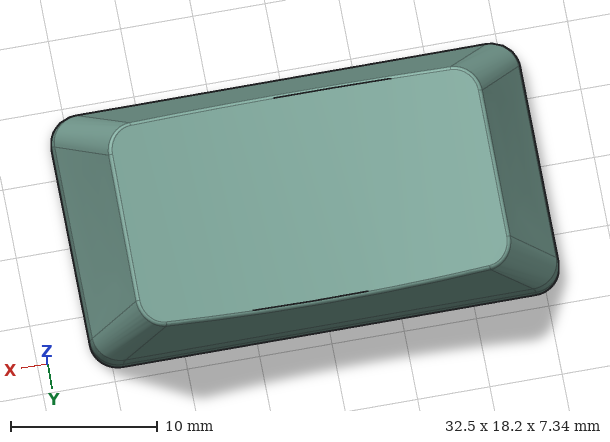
import cadquery as cq
import math

length = 32.45
width = 18.17
skirt_height = 0.62

side_slope = 0.52
front_slope = 0.55
back_slope = 0.09

shoulder_height = 0.7
shoulder_steps = 4
corner_radius = 1.95
top_edge_radius = 0.25

blank_front_height = 7.63
blank_back_height = 6.23

dish_radius = 77.88
dish_depth_below_blank = 1.2


def wall_inset(slope, height):
    """Inset of a wall that is upright, bends over an arc, then slopes straight inward."""
    lean = math.atan(slope)
    radius = shoulder_height / math.sin(lean)
    arc_rise = min(max(height - skirt_height, 0), shoulder_height)
    straight_rise = max(height - skirt_height - shoulder_height, 0)
    return radius - math.sqrt(radius**2 - arc_rise**2) + slope * straight_rise


def rounded_outline(outline_length, outline_width):
    """Rectangle with the rounded corners shared by the whole body."""
    return cq.Sketch().rect(outline_length, outline_width).vertices().fillet(corner_radius)


def outline_at(height):
    """Level outline of the skirt or shoulder at the given height."""
    front_inset = wall_inset(front_slope, height)
    back_inset = wall_inset(back_slope, height)
    outline_length = length - 2 * wall_inset(side_slope, height)
    outline_width = width - front_inset - back_inset
    center = cq.Vector(0, (front_inset - back_inset) / 2, height)
    return rounded_outline(outline_length, outline_width).moved(cq.Location(center))


top_front = cq.Vector(0, -width / 2 + wall_inset(front_slope, blank_front_height), blank_front_height)
top_back = cq.Vector(0, width / 2 - wall_inset(back_slope, blank_back_height), blank_back_height)
top_axis = (top_back - top_front).normalized()
top_plane = cq.Plane(
    origin=(top_front + top_back) * 0.5,
    xDir=(1, 0, 0),
    normal=cq.Vector(1, 0, 0).cross(top_axis),
)


def tilted_top_outline():
    """Outline of the blank's top, with side edges parallel to the part's centre line."""
    top_length = length - 2 * wall_inset(side_slope, blank_front_height)
    top_width = (top_back - top_front).Length
    return rounded_outline(top_length, top_width).moved(cq.Location(top_plane))


def keycap_blank():
    """Upright skirt, rounded shoulder and ruled tapered walls, stacked into one body."""
    shoulder_top = skirt_height + shoulder_height
    shoulder_outlines = [
        outline_at(skirt_height + shoulder_height * step / shoulder_steps)
        for step in range(shoulder_steps + 1)
    ]
    skirt = cq.Workplane().placeSketch(outline_at(0)).extrude(skirt_height)
    shoulder = cq.Workplane().placeSketch(*shoulder_outlines).loft()
    walls = cq.Workplane().placeSketch(outline_at(shoulder_top), tilted_top_outline()).loft(ruled=True)
    return skirt.union(shoulder).union(walls)


def dish_cutter():
    """Long cylinder whose lowest line follows the sloping middle of the top."""
    reach = 2 * width
    axis_height = dish_radius - dish_depth_below_blank
    start = top_plane.origin + top_plane.zDir * axis_height - top_axis * reach
    return cq.Workplane(obj=cq.Solid.makeCylinder(dish_radius, 2 * reach, start, top_axis))


dished_body = keycap_blank().cut(dish_cutter())

dish_face = dished_body.faces(cq.selectors.NearestToPointSelector(top_plane.origin.toTuple()))
result = dish_face.edges().fillet(top_edge_radius)